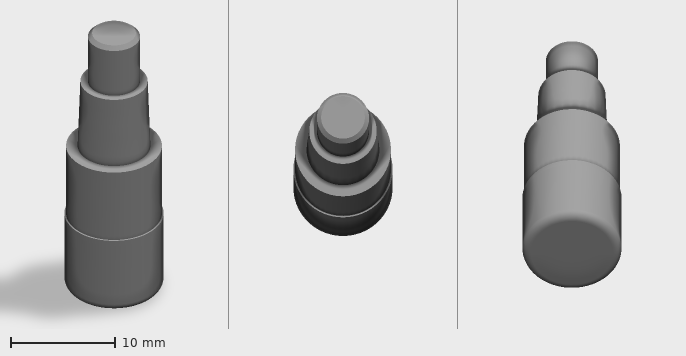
import cadquery as cq

TOTAL_HEIGHT = 29.1
TIP_BASE = 23.55
TAPER_BASE = 16.03
RING_TOP = 8.2
RING_BOTTOM = 7.6

BASE_DIAMETER = 9.52
BARREL_DIAMETER = 9.2
TAPER_BOTTOM_DIAMETER = 6.98
TAPER_TOP_DIAMETER = 6.45
TIP_DIAMETER = 5.0

BOTTOM_FILLET = 0.8
TIP_CHAMFER_HEIGHT = 0.38
TIP_CHAMFER_WIDTH = 0.4


def cylinder(diameter, bottom, top):
    """Solid cylinder about Z between two heights."""
    return cq.Workplane("XY").workplane(offset=bottom).circle(diameter / 2).extrude(top - bottom)


def make_pin():
    """Stepped pin with a rounded base, a tapered neck and a chamfered tip."""
    base = cylinder(BASE_DIAMETER, 0, RING_BOTTOM).faces("<Z").edges().fillet(BOTTOM_FILLET)
    barrel = cylinder(BARREL_DIAMETER, RING_BOTTOM, TAPER_BASE)
    neck = (
        cq.Workplane("XY")
        .workplane(offset=TAPER_BASE)
        .circle(TAPER_BOTTOM_DIAMETER / 2)
        .workplane(offset=TIP_BASE - TAPER_BASE)
        .circle(TAPER_TOP_DIAMETER / 2)
        .loft()
    )
    tip = (
        cylinder(TIP_DIAMETER, TIP_BASE, TOTAL_HEIGHT)
        .faces(">Z")
        .chamfer(TIP_CHAMFER_HEIGHT, TIP_CHAMFER_WIDTH)
    )
    return base.union(barrel).union(neck).union(tip)


def make_ring():
    """Thin ring around the barrel, resting on the base and flush with it."""
    bore = cylinder(BARREL_DIAMETER, RING_BOTTOM, RING_TOP)
    return cylinder(BASE_DIAMETER, RING_BOTTOM, RING_TOP).cut(bore)


pin = make_pin()
ring = make_ring()

result = cq.Compound.makeCompound([pin.val(), ring.val()])